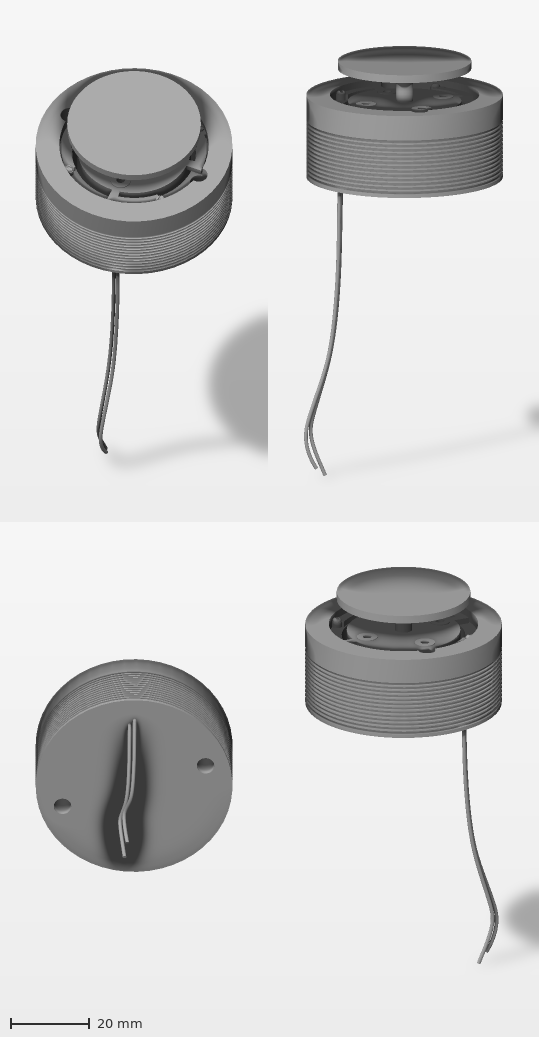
import cadquery as cq
import math

housing_dia = 50.0
housing_height = 21.4
rim_height = 6.4
base_thickness = 4.2

groove_count = 13
groove_width = 0.7
groove_depth = 0.6
bottom_fin = 1.0
fin_zone = housing_height - rim_height
groove_pitch = (fin_zone - bottom_fin - groove_width) / (groove_count - 1)

recess_radius = 19.0
ledge_depth = 3.1
bore_radius = 15.7
hub_radius = 14.5
spring_depth = 1.6

through_hole_dia = 4.5
through_hole_offset = 19.1

arm_count = 4
arm_start = 8.0
bridge_span = 8.0
anchor_start = 37.0
arm_inner_radius = 16.0
arm_outer_radius = 18.5
anchor_pad_dia = 2.7

screw_angle = 44.4
screw_circle_radius = 18.0
screw_head_dia = 2.3
screw_head_height = 0.8
screw_dome_radius = 0.7
screw_slot_width = 0.7
screw_slot_depth = 0.4

boss_angle = 4.3
boss_circle_radius = 10.7
boss_dia = 5.2
boss_height = 0.2
boss_hole_dia = 2.2
boss_hole_depth = 3.2

disc_dia = 34.0
disc_thickness = 2.0
disc_gap = 6.8
shaft_dia = 4.4

wire_dia = 1.0
wires_layout = [
    (
        4.5,
        [(-17.3, 0), (-17.7, -18.7), (-18.7, -34.1), (-20.5, -45.6),
         (-24.4, -59.4), (-25.3, -63.7), (-24.1, -69.6), (-21.6, -75.8)],
    ),
    (
        6.1,
        [(-18.2, 0), (-18.5, -18.7), (-19.4, -34.1), (-21.2, -45.6),
         (-25.7, -59.4), (-26.9, -64.8), (-25.9, -70.1), (-24.1, -73.6)],
    ),
]

ledge_z = housing_height - ledge_depth
spring_z = housing_height - spring_depth
arm_angles = [arm_start + 360 / arm_count * i for i in range(arm_count)]


def polar(radius, degrees):
    angle = math.radians(degrees)
    return (radius * math.cos(angle), radius * math.sin(angle))


def cylinder(dia, height, z, center=(0, 0)):
    return cq.Workplane("XY", origin=(*center, z)).circle(dia / 2).extrude(height)


def ring_sector(inner, outer, start, end):
    """Piece of a flat ring that stands on the ledge and reaches the spring level."""
    middle = (start + end) / 2
    return (
        cq.Workplane("XY", origin=(0, 0, ledge_z))
        .moveTo(*polar(inner, start))
        .lineTo(*polar(outer, start))
        .threePointArc(polar(outer, middle), polar(outer, end))
        .lineTo(*polar(inner, end))
        .threePointArc(polar(inner, middle), polar(inner, start))
        .close()
        .extrude(spring_z - ledge_z)
    )


def make_shell():
    shell = cylinder(housing_dia, housing_height, 0)
    shell = shell.cut(cylinder(2 * recess_radius, ledge_depth, ledge_z))
    shell = shell.cut(cylinder(2 * bore_radius, ledge_z - base_thickness, base_thickness))
    for side in (-1, 1):
        center = (side * through_hole_offset, 0)
        shell = shell.cut(cylinder(through_hole_dia, housing_height, 0, center))
    return shell


def cut_fin_grooves(body):
    for i in range(groove_count):
        z = fin_zone - groove_width - i * groove_pitch
        groove = (
            cq.Workplane("XY", origin=(0, 0, z))
            .circle(housing_dia / 2 + groove_depth)
            .circle(housing_dia / 2 - groove_depth)
            .extrude(groove_width)
        )
        body = body.cut(groove)
    return body


def make_arm(start):
    overlap = 0.1
    bridge = ring_sector(hub_radius - overlap, arm_inner_radius + overlap, start, start + bridge_span)
    beam = ring_sector(arm_inner_radius, arm_outer_radius, start, start + screw_angle)
    anchor = ring_sector(
        arm_inner_radius, recess_radius + overlap, start + anchor_start, start + screw_angle
    )
    pad_height = spring_z - ledge_z
    pad = cylinder(anchor_pad_dia, pad_height, ledge_z, polar(screw_circle_radius, start + screw_angle))
    return bridge.union(beam).union(anchor).union(pad)


def make_screw(start):
    """Rounded screw head with a straight slot."""
    slot_direction = start - arm_start
    head = cylinder(screw_head_dia, screw_head_height, 0)
    head = head.faces(">Z").edges().fillet(screw_dome_radius)
    slot = (
        cq.Workplane("XY", origin=(0, 0, screw_head_height - screw_slot_depth))
        .rect(screw_head_dia, screw_slot_width)
        .extrude(screw_slot_depth)
    )
    screw = head.cut(slot).rotate((0, 0, 0), (0, 0, 1), slot_direction)
    return screw.translate((*polar(screw_circle_radius, start + screw_angle), spring_z))


def make_hub():
    hub = cylinder(2 * hub_radius, spring_z - base_thickness, base_thickness)
    for start in arm_angles:
        center = polar(boss_circle_radius, start + boss_angle)
        hub = hub.union(cylinder(boss_dia, boss_height, spring_z, center))
        hole_z = spring_z + boss_height - boss_hole_depth
        hub = hub.cut(cylinder(boss_hole_dia, boss_hole_depth, hole_z, center))
    return hub


def make_housing():
    body = cut_fin_grooves(make_shell()).union(make_hub())
    for start in arm_angles:
        body = body.union(make_arm(start)).union(make_screw(start))
    return body


def make_plunger():
    disc_z = housing_height + disc_gap
    shaft = cylinder(shaft_dia, disc_z - spring_z, spring_z)
    return shaft.union(cylinder(disc_dia, disc_thickness, disc_z))


def make_wire(x, points):
    path = cq.Workplane("YZ", origin=(x, 0, 0)).spline(points)
    return cq.Workplane("XY", origin=(x, points[0][0], 0)).circle(wire_dia / 2).sweep(path)


housing = make_housing()
plunger = make_plunger()
wires = [make_wire(x, points) for x, points in wires_layout]

result = cq.Compound.makeCompound([housing.val(), plunger.val(), *[wire.val() for wire in wires]])